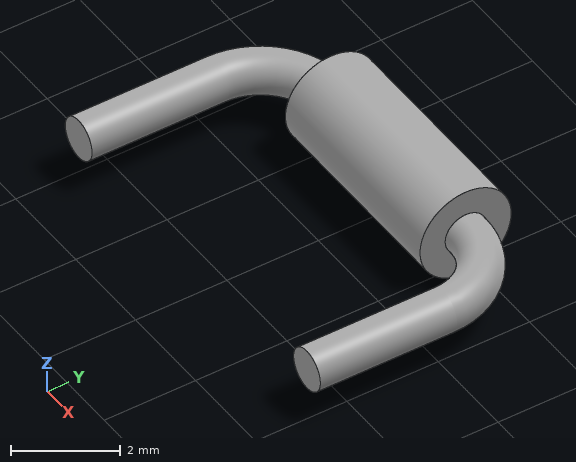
import cadquery as cq

BODY_LENGTH = 4.5
BODY_DIAMETER = 2.0

WIRE_DIAMETER = 0.9
LEAD_PITCH = 7.62
BEND_RADIUS = 1.5
LEG_REACH = 4.5

LEG_X = LEAD_PITCH / 2
BEND_START_X = LEG_X - BEND_RADIUS


def make_body():
    """Solid cylinder centred on the origin."""
    return (
        cq.Workplane("YZ", origin=(-BODY_LENGTH / 2, 0, 0))
        .circle(BODY_DIAMETER / 2)
        .extrude(BODY_LENGTH)
    )


def make_wire():
    """Round wire swept along a U: leg, bend, straight, bend, leg."""
    path = (
        cq.Workplane("XY")
        .moveTo(-LEG_X, -LEG_REACH)
        .lineTo(-LEG_X, -BEND_RADIUS)
        .tangentArcPoint((-BEND_START_X, 0), relative=False)
        .lineTo(BEND_START_X, 0)
        .tangentArcPoint((LEG_X, -BEND_RADIUS), relative=False)
        .lineTo(LEG_X, -LEG_REACH)
    )
    leg_tip = cq.Plane(origin=(-LEG_X, -LEG_REACH, 0), xDir=(1, 0, 0), normal=(0, 1, 0))
    return cq.Workplane(leg_tip).circle(WIRE_DIAMETER / 2).sweep(path)


result = make_body().union(make_wire())